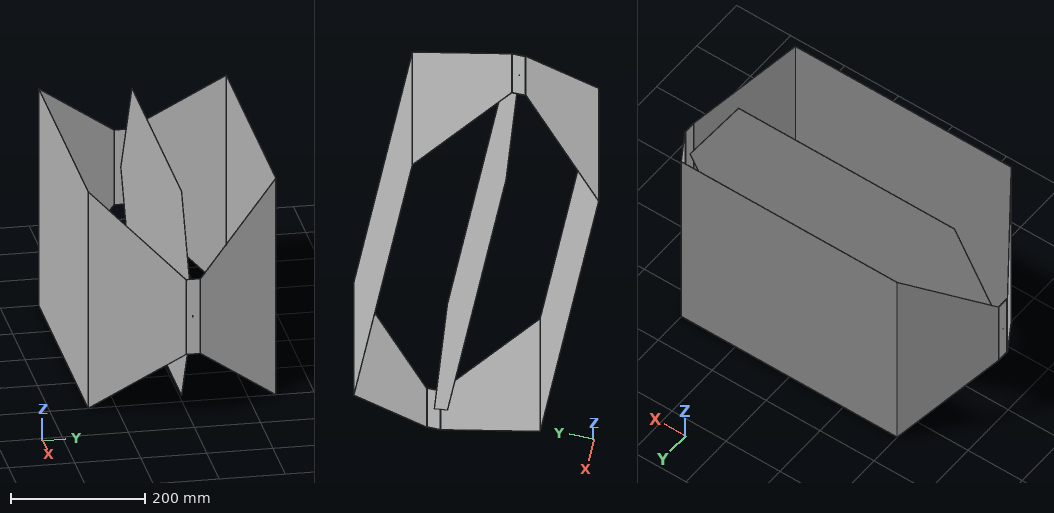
import cadquery as cq
import math

sheet = 0.5

overall_length = 581.69
overall_width = 284.35
overall_height = 350.0

panel_length = 400.25
flange_height = 120.75
bend_y = 11.0
flange_end_y = 10.0
shell_length = overall_length - sheet
shell_shift = sheet / 2

plate_height = 329.5
plate_face_y = -sheet
plate_edge_length = 400.0
plate_length = overall_length - 4 * sheet

wing_run = (shell_length - panel_length) / 2
wing_depth = overall_width / 2 - bend_y
wing_angle = math.atan2(wing_depth, wing_run)


def wall_path(inset):
    """Plan points of one face of the folded sheet, inset from its outer face, from -X to +X."""
    end_x = shell_length / 2 - inset
    fold_y = bend_y - inset * math.tan((math.pi / 2 - wing_angle) / 2)
    corner_x = panel_length / 2 - inset * math.tan(wing_angle / 2)
    panel_y = overall_width / 2 - inset
    return [
        (-end_x, flange_end_y),
        (-end_x, -fold_y),
        (-corner_x, -panel_y),
        (corner_x, -panel_y),
        (end_x, -fold_y),
        (end_x, flange_end_y),
    ]


def wing_trim(side):
    """Tapered offcut at one edge of a wing and its flange, square to the wing; side is -1 for -X, 1 for +X."""
    wing_plane = cq.Plane(
        origin=(side * panel_length / 2, -overall_width / 2, 0),
        xDir=(side * wing_run, wing_depth, 0),
        normal=(wing_depth, -side * wing_run, 0),
    )
    wing_length = math.hypot(wing_run, wing_depth)
    beyond_flange = wing_length + bend_y + flange_end_y
    points = [
        (0, overall_height / 2),
        (wing_length, flange_height / 2),
        (beyond_flange, flange_height / 2),
        (beyond_flange, overall_height / 2),
    ]
    return cq.Workplane(wing_plane).polyline(points).close().extrude(bend_y + flange_end_y, both=True)


def folded_shell():
    """Shell with its panel on the -Y side, shifted so that its -X flange lies outside."""
    plan = wall_path(0) + wall_path(sheet)[::-1]
    shell = cq.Workplane("XY").polyline(plan).close().extrude(overall_height / 2, both=True)
    for side in (-1, 1):
        trim = wing_trim(side)
        shell = shell.cut(trim).cut(trim.mirror("XY"))
    return shell.translate((-shell_shift, 0, 0))


def middle_plate():
    """Hexagonal plate standing between the shells, set slightly towards the -Y shell."""
    tip_x = plate_length / 2
    corner_x = plate_edge_length / 2
    edge_z = plate_height / 2
    points = [
        (-corner_x, -edge_z),
        (corner_x, -edge_z),
        (tip_x, 0),
        (corner_x, edge_z),
        (-corner_x, edge_z),
        (-tip_x, 0),
    ]
    face_plane = cq.Workplane("XZ", origin=(0, plate_face_y, 0))
    return face_plane.polyline(points).close().extrude(sheet)


shells = [folded_shell().rotate((0, 0, 0), (0, 0, 1), turn) for turn in (0, 180)]
plate = middle_plate()

result = cq.Compound.makeCompound([*[shell.val() for shell in shells], plate.val()])